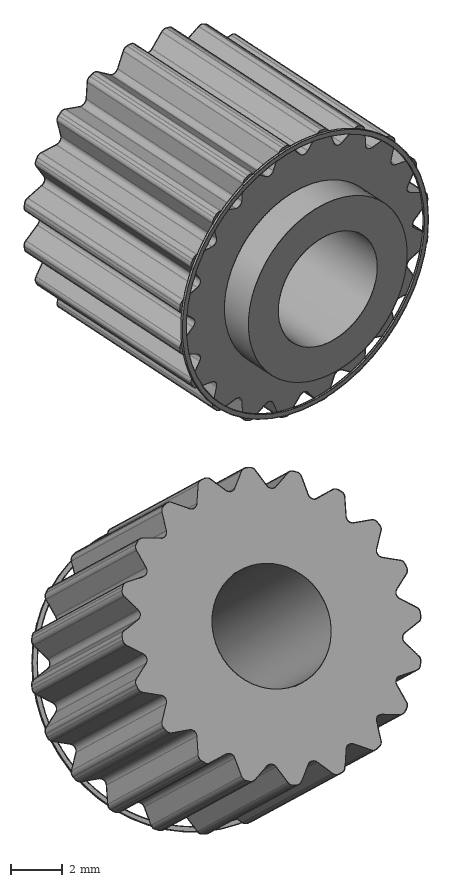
import cadquery as cq
import math

total_length = 11.0
toothed_length = 9.53
rim_thickness = 0.1
hub_length = total_length - toothed_length

bore_diameter = 5.0
hub_diameter = 8.03
rim_outer_diameter = 12.44
rim_inner_diameter = 12.04

tooth_count = 20
overall_height = 12.54
root_radius = 5.5
tip_flat_width = 0.15
tip_round = 0.25
flank_angle = 31.0

half_pitch = math.radians(180 / tooth_count)
flank = math.radians(flank_angle)
groove_flank = flank + half_pitch

round_offset = tip_flat_width / 2
round_height = (
    overall_height / 2 - tip_round - round_offset * math.sin(half_pitch)
) / math.cos(half_pitch)


def turn(point, angle):
    """Rotate a 2D point about the pulley axis, clockwise."""
    across, outward = point
    return (
        across * math.cos(angle) + outward * math.sin(angle),
        outward * math.cos(angle) - across * math.sin(angle),
    )


def mirror(point):
    """Reflect a 2D point across the tooth's middle line."""
    return (-point[0], point[1])


def on_tip_round(angle):
    """Point on the right tip rounding, at an angle from the tooth's middle line."""
    return (
        round_offset + tip_round * math.sin(angle),
        round_height + tip_round * math.cos(angle),
    )


flank_turn = math.pi / 2 - flank
tip_start = on_tip_round(0)
tip_middle = on_tip_round(flank_turn / 2)
flank_start = on_tip_round(flank_turn)

groove_across, groove_outward = turn(flank_start, -half_pitch)
half_width_at_root = -groove_across - (groove_outward - root_radius) * math.tan(groove_flank)
root_round = half_width_at_root * math.cos(groove_flank) / (1 - math.sin(groove_flank))
flank_end = turn(
    (
        -root_round * math.cos(groove_flank),
        root_radius + root_round * (1 - math.sin(groove_flank)),
    ),
    half_pitch,
)
groove_bottom = turn((0, root_radius), half_pitch)


def toothed_profile():
    """Closed outline of all teeth, with a groove centred on the Z axis."""
    profile = cq.Workplane("YZ").moveTo(*turn(mirror(flank_end), half_pitch))
    for tooth in range(tooth_count):
        angle = half_pitch + 2 * half_pitch * tooth
        next_angle = angle + 2 * half_pitch
        profile = (
            profile.lineTo(*turn(mirror(flank_start), angle))
            .threePointArc(turn(mirror(tip_middle), angle), turn(mirror(tip_start), angle))
            .lineTo(*turn(tip_start, angle))
            .threePointArc(turn(tip_middle, angle), turn(flank_start, angle))
            .lineTo(*turn(flank_end, angle))
            .threePointArc(turn(groove_bottom, angle), turn(mirror(flank_end), next_angle))
        )
    return profile.close()


def disc(start, length, diameter):
    """Solid cylinder along X."""
    return cq.Workplane("YZ", origin=(start, 0, 0)).circle(diameter / 2).extrude(length)


teeth = toothed_profile().extrude(toothed_length)
rim = disc(toothed_length, rim_thickness, rim_outer_diameter).cut(
    disc(toothed_length, rim_thickness, rim_inner_diameter)
)
hub = disc(toothed_length, hub_length, hub_diameter)
bore = disc(0, total_length, bore_diameter)

result = teeth.union(rim).union(hub).cut(bore)